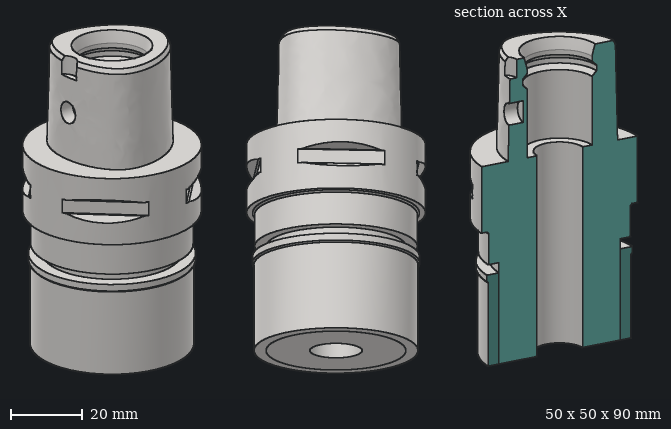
import cadquery as cq
import math

total_height = 90.0
flange_top = 60.0
flange_bottom = 40.05
shoulder_bottom = 30.2
nut_top = 27.4
nut_collar_bottom = 25.4

flange_radius = 25.0
shoulder_radius = 22.8
spindle_radius = 19.5
nut_collar_radius = 23.4
nut_radius = 22.95
shoulder_blend = 0.5

shank_base_radius = 17.6
lobe_offset = 1.1
radius_taper = 1 / 40
outline_points = 48
rim_height = 1.4
rim_inset = 0.7

bore_mouth_radius = 11.3
bore_radius = 10.35
through_hole_radius = 7.3
mouth_depth = 3.5
undercut_top_depth = 5.0
undercut_depth = 1.4
undercut_height = 4.5
bore_floor = flange_top

keyway_radius = 3.7
keyway_reach = 13.9
keyway_floor = 84.5
side_hole_radius = 3.15
side_hole_height = 74.0
side_hole_floor_y = -11.7

groove_count = 4
groove_first_angle = 45
groove_floor_distance = 21.9
groove_floor_height = 4.05
groove_flare_distance = 22.5
groove_flare_angle = 30

shank_height = total_height - flange_top


def lobed_outline(mean_radius, height):
    """Closed three-lobed outline of constant width, with one lobe towards +Y."""
    def point(angle):
        support = mean_radius - lobe_offset * math.sin(3 * angle)
        slope = -3 * lobe_offset * math.cos(3 * angle)
        return (
            support * math.cos(angle) - slope * math.sin(angle),
            support * math.sin(angle) + slope * math.cos(angle),
            height,
        )

    angles = [2 * math.pi * step / outline_points - math.pi / 2 for step in range(outline_points)]
    points = [cq.Vector(*point(angle)) for angle in angles]
    return cq.Wire.assembleEdges([cq.Edge.makeSpline(points, periodic=True)])


def make_shank():
    """Tapered lobed shank with a bevelled rim."""
    rim_bottom = total_height - rim_height
    rim_radius = shank_base_radius - radius_taper * (shank_height - rim_height)
    base = lobed_outline(shank_base_radius, flange_top)
    rim = lobed_outline(rim_radius, rim_bottom)
    end = lobed_outline(rim_radius - rim_inset, total_height)
    taper = cq.Solid.makeLoft([base, rim], True)
    bevel = cq.Solid.makeLoft([rim, end], True)
    return cq.Workplane(taper).union(cq.Workplane(bevel))


def make_turned_body():
    """Flange, shoulder with its conical blend, and the spindle that carries the nut."""
    return (
        cq.Workplane("XZ")
        .moveTo(0, 0)
        .lineTo(spindle_radius, 0)
        .lineTo(spindle_radius, shoulder_bottom)
        .lineTo(shoulder_radius, shoulder_bottom)
        .lineTo(shoulder_radius, flange_bottom - shoulder_blend)
        .lineTo(shoulder_radius + shoulder_blend, flange_bottom)
        .lineTo(flange_radius, flange_bottom)
        .lineTo(flange_radius, flange_top)
        .lineTo(0, flange_top)
        .close()
        .revolve(360, (0, 0, 0), (0, 1, 0))
    )


def make_bore():
    """Conical mouth, bore with a 45 degree walled undercut, and the hole right through."""
    mouth_bottom = total_height - mouth_depth
    undercut_top = total_height - undercut_top_depth
    undercut_bottom = undercut_top - undercut_height
    undercut_radius = bore_radius + undercut_depth
    return (
        cq.Workplane("XZ")
        .moveTo(0, 0)
        .lineTo(through_hole_radius, 0)
        .lineTo(through_hole_radius, bore_floor)
        .lineTo(bore_radius, bore_floor)
        .lineTo(bore_radius, undercut_bottom)
        .lineTo(undercut_radius, undercut_bottom + undercut_depth)
        .lineTo(undercut_radius, undercut_top - undercut_depth)
        .lineTo(bore_radius, undercut_top)
        .lineTo(bore_radius, mouth_bottom)
        .lineTo(bore_mouth_radius, total_height)
        .lineTo(0, total_height)
        .close()
        .revolve(360, (0, 0, 0), (0, 1, 0))
    )


def make_keyway():
    """Round-backed notch in the rim, open to the -Y side."""
    return (
        cq.Workplane("XY", origin=(0, -keyway_reach - keyway_radius, keyway_floor))
        .circle(keyway_radius)
        .extrude(total_height - keyway_floor)
    )


def make_side_hole():
    """Flat-bottomed round hole drilled along +Y into the shank."""
    return (
        cq.Workplane("XZ", origin=(0, side_hole_floor_y, side_hole_height))
        .circle(side_hole_radius)
        .extrude(flange_radius)
    )


def make_gripper_groove(angle):
    """Groove with a flat floor and short square walls that flare outwards to the rim."""
    flare_depth = flange_radius - groove_flare_distance
    floor_half = groove_floor_height / 2
    mouth_half = floor_half + flare_depth * math.tan(math.radians(groove_flare_angle))
    centre_height = (flange_top + flange_bottom) / 2
    return (
        cq.Workplane("XZ", origin=(0, 0, centre_height))
        .moveTo(groove_floor_distance, -floor_half)
        .lineTo(groove_flare_distance, -floor_half)
        .lineTo(flange_radius, -mouth_half)
        .lineTo(flange_radius, mouth_half)
        .lineTo(groove_flare_distance, floor_half)
        .lineTo(groove_floor_distance, floor_half)
        .close()
        .extrude(flange_radius, both=True)
        .rotate((0, 0, 0), (0, 0, 1), angle)
    )


def make_housing():
    """Shank, flange and spindle in one piece."""
    body = make_turned_body().union(make_shank())
    body = body.cut(make_bore()).cut(make_keyway()).cut(make_side_hole())
    for index in range(groove_count):
        angle = groove_first_angle + index * 360 / groove_count
        body = body.cut(make_gripper_groove(angle))
    return body


def make_nut():
    """Sleeve nut around the spindle, with a collar that blends conically into the sleeve."""
    sleeve_top = nut_collar_bottom - (nut_collar_radius - nut_radius)
    return (
        cq.Workplane("XZ")
        .moveTo(spindle_radius, 0)
        .lineTo(nut_radius, 0)
        .lineTo(nut_radius, sleeve_top)
        .lineTo(nut_collar_radius, nut_collar_bottom)
        .lineTo(nut_collar_radius, nut_top)
        .lineTo(spindle_radius, nut_top)
        .close()
        .revolve(360, (0, 0, 0), (0, 1, 0))
    )


housing = make_housing()
nut = make_nut()
result = cq.Compound.makeCompound([housing.val(), nut.val()])